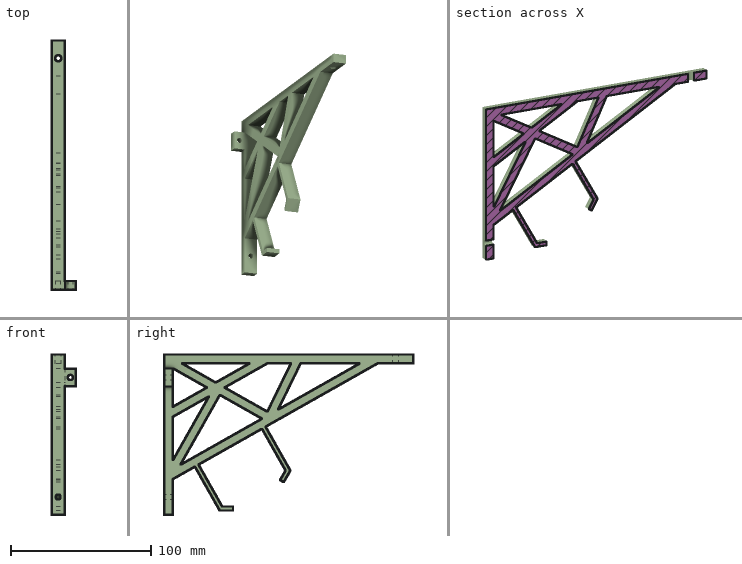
import cadquery as cq
import math


arm_length = 177.8
post_height = 114.3
thickness = 9.525
bar_width = 6.35
half_bar = bar_width / 2

diagonal_drop = 88.9
diagonal_reach = 152.4
diagonal_slope = (diagonal_drop - bar_width) / (diagonal_reach - bar_width)
diagonal_angle = math.atan(diagonal_slope)
half_bar_vertical = half_bar / math.cos(diagonal_angle)

parallel_brace_drop = 44.45
arm_brace_y = 93.9
arm_brace_angle = math.radians(64)
post_brace_y = 38.6
post_brace_angle = math.pi / 2 - diagonal_angle

hook_width = 3.1
hook_stem_length = 35.9
hook_tail_length = 9.6
outer_hook_y = 71.1
inner_hook_y = 23.3
outer_hook_tail_angle = math.radians(-120)
inner_hook_tail_angle = 0

tab_length = 7.9375
tab_height = 12.7
tab_centre_drop = 16.4
post_hole_diameter = 3.58
arm_hole_diameter = 4.22
hole_end_distance = 12.7


def parallel_line_z(y, post_drop):
    """Height of a centreline parallel to the diagonal, from its lower edge's drop at the post."""
    return -post_drop + half_bar_vertical + (y - bar_width) * diagonal_slope


def corner_line_z(y):
    """Height of the centreline that leaves the inner corner of the arm and post."""
    return -bar_width - (y - bar_width) * diagonal_slope


def extrude_outline(points):
    """Full-thickness plate with the given (y, z) outline."""
    return cq.Workplane("YZ").polyline(points).close().extrude(thickness)


def bar(start, end):
    """Straight frame bar centred on the line between two (y, z) points."""
    dy = end[0] - start[0]
    dz = end[1] - start[1]
    length = math.hypot(dy, dz)
    side_y = -dz / length * half_bar
    side_z = dy / length * half_bar
    return extrude_outline([
        (start[0] + side_y, start[1] + side_z),
        (end[0] + side_y, end[1] + side_z),
        (end[0] - side_y, end[1] - side_z),
        (start[0] - side_y, start[1] - side_z),
    ])


def frame():
    arm = extrude_outline([(0, 0), (arm_length, 0), (arm_length, -bar_width), (0, -bar_width)])
    post = extrude_outline([(0, 0), (bar_width, 0), (bar_width, -post_height), (0, -post_height)])
    return arm.union(post)


def parallel_bar(post_drop):
    """Bar parallel to the diagonal, from the post centreline up to the arm centreline."""
    post_z = parallel_line_z(half_bar, post_drop)
    arm_y = half_bar + (-half_bar - post_z) / diagonal_slope
    return bar((half_bar, post_z), (arm_y, -half_bar))


def corner_brace():
    """Brace from the inner corner down to the centreline of the main diagonal."""
    corner_gap = diagonal_drop - half_bar_vertical - bar_width
    end_y = bar_width + corner_gap / (2 * diagonal_slope)
    return bar((bar_width, -bar_width), (end_y, corner_line_z(end_y)))


def arm_brace():
    """Steep brace from the arm down to the centreline of the main diagonal."""
    slope = math.tan(arm_brace_angle)
    top_y = arm_brace_y + half_bar / slope
    top_gap = -half_bar - parallel_line_z(top_y, diagonal_drop)
    foot_y = top_y - top_gap / (slope - diagonal_slope)
    return bar((top_y, -half_bar), (foot_y, parallel_line_z(foot_y, diagonal_drop)))


def post_brace():
    """Steep brace from the corner brace down to the post centreline."""
    top_z = corner_line_z(post_brace_y)
    foot_z = top_z - (post_brace_y - half_bar) * math.tan(post_brace_angle)
    return bar((post_brace_y, top_z), (half_bar, foot_z))


def hook(foot_y, tail_angle, outer_side):
    """Hook square to the diagonal; outer_side is +1 when its outer edge faces +Y, else -1."""
    stem = (math.sin(diagonal_angle), -math.cos(diagonal_angle))
    along = (math.cos(diagonal_angle), math.sin(diagonal_angle))
    tail = (math.cos(tail_angle), math.sin(tail_angle))

    def shift(point, direction, distance):
        return (point[0] + direction[0] * distance, point[1] + direction[1] * distance)

    foot = (foot_y, parallel_line_z(foot_y, diagonal_drop) - half_bar_vertical)
    outer_foot = shift(foot, along, outer_side * hook_width / 2)
    inner_foot = shift(foot, along, -outer_side * hook_width / 2)
    outer_bend = shift(outer_foot, stem, hook_stem_length)
    outer_tip = shift(outer_bend, tail, hook_tail_length)
    turn = math.acos(stem[0] * tail[0] + stem[1] * tail[1])
    setback = hook_width * math.tan(turn / 2)
    inner_bend = shift(inner_foot, stem, hook_stem_length - setback)
    inner_tip = shift(inner_bend, tail, hook_tail_length - setback)
    return extrude_outline([
        shift(outer_foot, stem, -half_bar),
        outer_bend,
        outer_tip,
        inner_tip,
        inner_bend,
        shift(inner_foot, stem, -half_bar),
    ])


def tab():
    return (
        cq.Workplane("XY")
        .box(tab_length, bar_width, tab_height)
        .translate((thickness + tab_length / 2, half_bar, -tab_centre_drop))
    )


def post_hole(x, z):
    """Drill along Y through the depth of the post."""
    return cq.Workplane("XZ").center(x, z).circle(post_hole_diameter / 2).extrude(-bar_width)


def arm_hole():
    """Drill down through the free end of the arm."""
    return (
        cq.Workplane("XY")
        .center(thickness / 2, arm_length - hole_end_distance)
        .circle(arm_hole_diameter / 2)
        .extrude(-bar_width)
    )


result = (
    frame()
    .union(parallel_bar(diagonal_drop))
    .union(parallel_bar(parallel_brace_drop))
    .union(corner_brace())
    .union(arm_brace())
    .union(post_brace())
    .union(hook(outer_hook_y, outer_hook_tail_angle, 1))
    .union(hook(inner_hook_y, inner_hook_tail_angle, -1))
    .union(tab())
    .cut(post_hole(thickness / 2, hole_end_distance - post_height))
    .cut(post_hole(thickness + tab_length / 2, -tab_centre_drop))
    .cut(arm_hole())
    .clean()
)